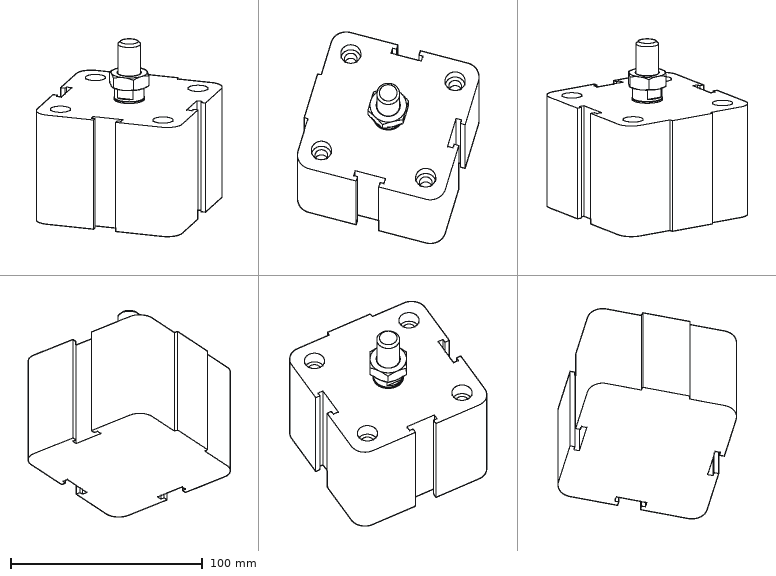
import cadquery as cq
import math

HOUSING_WIDTH = 80.0
HOUSING_HEIGHT = 60.0
CORNER_RADIUS = 8.2

RAIL_BASE_WIDTH = 26.0
RAIL_TOP_WIDTH = 25.4
RAIL_HEIGHT = 2.0

SLOT_MOUTH_WIDTH = 12.2
SLOT_INNER_WIDTH = 16.4
SLOT_LIP = 2.6
SLOT_DEPTH = 5.5

MOUNT_SPACING = 56.6
MOUNT_BORE_DIAMETER = 10.5
MOUNT_BORE_DEPTH = 7.0
MOUNT_CORE_DIAMETER = 6.65
MOUNT_CORE_DEPTH = 14.0

COLLAR_DIAMETER = 16.0
COLLAR_HEIGHT = 0.7
SHANK_DIAMETER = 15.6
SHOULDER_HEIGHT = 7.5
SHOULDER_CHAMFER = 0.5
FLAT_START = 2.0
FLAT_SIZE = 13.0
STUD_DIAMETER = 12.0
STUD_LENGTH = 24.0
STUD_CHAMFER = 1.4
ROD_SEAT_DEPTH = 14.0

NUT_SIDES = 6
NUT_SIZE = 19.0
NUT_HEIGHT = 7.0
NUT_CHAMFER_ANGLE = 30.0
NUT_BORE_CHAMFER = 0.3


def make_rail():
    """Rail with sloped flanks, running the full height of the housing."""
    root = HOUSING_WIDTH / 2 - RAIL_HEIGHT
    face = HOUSING_WIDTH / 2
    crest = face + RAIL_HEIGHT
    return (
        cq.Workplane("XY")
        .polyline([
            (-RAIL_BASE_WIDTH / 2, root),
            (RAIL_BASE_WIDTH / 2, root),
            (RAIL_BASE_WIDTH / 2, face),
            (RAIL_TOP_WIDTH / 2, crest),
            (-RAIL_TOP_WIDTH / 2, crest),
            (-RAIL_BASE_WIDTH / 2, face),
        ])
        .close()
        .extrude(HOUSING_HEIGHT)
    )


def make_slot(angle):
    """T-slot cutter for the -Y face, turned about Z by the given angle."""
    face = -HOUSING_WIDTH / 2
    mouth = (
        cq.Workplane("XY")
        .center(0, face + SLOT_DEPTH / 2)
        .rect(SLOT_MOUTH_WIDTH, SLOT_DEPTH)
        .extrude(HOUSING_HEIGHT)
    )
    inner_depth = SLOT_DEPTH - SLOT_LIP
    inner = (
        cq.Workplane("XY")
        .center(0, face + SLOT_LIP + inner_depth / 2)
        .rect(SLOT_INNER_WIDTH, inner_depth)
        .extrude(HOUSING_HEIGHT)
    )
    return mouth.union(inner).rotate((0, 0, 0), (0, 0, 1), angle)


def make_housing():
    """Block with rail, slots, mounting holes and a blind seat for the rod."""
    block = (
        cq.Workplane("XY")
        .rect(HOUSING_WIDTH, HOUSING_WIDTH)
        .extrude(HOUSING_HEIGHT)
        .edges("|Z")
        .fillet(CORNER_RADIUS)
        .union(make_rail())
    )
    for angle in (-90, 0, 90):
        block = block.cut(make_slot(angle))
    block = (
        block.faces(">Z")
        .workplane(origin=(0, 0, HOUSING_HEIGHT))
        .rect(MOUNT_SPACING, MOUNT_SPACING, forConstruction=True)
        .vertices()
        .cboreHole(MOUNT_CORE_DIAMETER, MOUNT_BORE_DIAMETER, MOUNT_BORE_DEPTH, MOUNT_CORE_DEPTH)
    )
    rod_seat = (
        cq.Workplane("XY")
        .workplane(offset=HOUSING_HEIGHT - ROD_SEAT_DEPTH)
        .circle(COLLAR_DIAMETER / 2)
        .extrude(ROD_SEAT_DEPTH)
    )
    return block.cut(rod_seat)


def make_rod():
    """Turned rod: collar, shank with two wrench flats, and chamfered stud."""
    collar_radius = COLLAR_DIAMETER / 2
    shank_radius = SHANK_DIAMETER / 2
    stud_radius = STUD_DIAMETER / 2
    collar_chamfer = collar_radius - shank_radius
    tip = SHOULDER_HEIGHT + STUD_LENGTH
    turned = (
        cq.Workplane("XZ")
        .polyline([
            (0, -ROD_SEAT_DEPTH),
            (collar_radius, -ROD_SEAT_DEPTH),
            (collar_radius, COLLAR_HEIGHT),
            (shank_radius, COLLAR_HEIGHT + collar_chamfer),
            (shank_radius, SHOULDER_HEIGHT - SHOULDER_CHAMFER),
            (shank_radius - SHOULDER_CHAMFER, SHOULDER_HEIGHT),
            (stud_radius, SHOULDER_HEIGHT),
            (stud_radius, tip - STUD_CHAMFER),
            (stud_radius - STUD_CHAMFER, tip),
            (0, tip),
        ])
        .close()
        .revolve(360, (0, 0, 0), (0, 1, 0))
    )
    flat_length = SHOULDER_HEIGHT - FLAT_START
    for side in (-1, 1):
        flat_cutter = (
            cq.Workplane("XY")
            .workplane(offset=FLAT_START)
            .center(0, side * (FLAT_SIZE + COLLAR_DIAMETER) / 2)
            .rect(COLLAR_DIAMETER, COLLAR_DIAMETER)
            .extrude(flat_length)
        )
        turned = turned.cut(flat_cutter)
    return turned.translate((0, 0, HOUSING_HEIGHT))


def make_nut():
    """Hexagon nut with corners on the X axis, turned down at both ends."""
    corner_radius = NUT_SIZE / 2 / math.cos(math.pi / NUT_SIDES)
    face_radius = NUT_SIZE / 2
    corner_drop = (corner_radius - face_radius) * math.tan(math.radians(NUT_CHAMFER_ANGLE))
    hexagon = cq.Workplane("XY").polygon(NUT_SIDES, 2 * corner_radius).extrude(NUT_HEIGHT)
    envelope = (
        cq.Workplane("XZ")
        .polyline([
            (0, 0),
            (face_radius, 0),
            (corner_radius, corner_drop),
            (corner_radius, NUT_HEIGHT - corner_drop),
            (face_radius, NUT_HEIGHT),
            (0, NUT_HEIGHT),
        ])
        .close()
        .revolve(360, (0, 0, 0), (0, 1, 0))
    )
    bore = cq.Workplane("XY").circle(STUD_DIAMETER / 2).extrude(NUT_HEIGHT)
    nut = hexagon.intersect(envelope).cut(bore)
    nut = nut.edges(cq.selectors.RadiusNthSelector(0)).chamfer(NUT_BORE_CHAMFER)
    return nut.translate((0, 0, HOUSING_HEIGHT + SHOULDER_HEIGHT))


housing = make_housing()
rod = make_rod()
nut = make_nut()

result = cq.Compound.makeCompound([housing.val(), rod.val(), nut.val()])